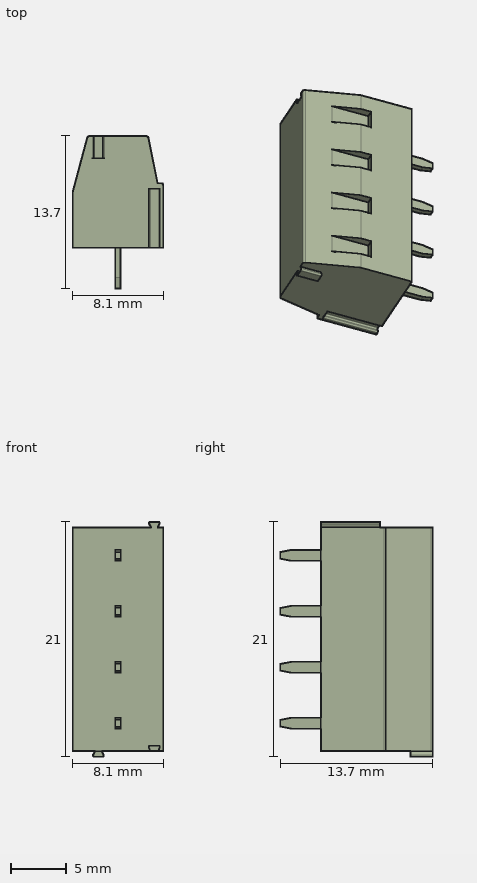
import cadquery as cq
import math


pole_count = 4
pole_pitch = 5.0
body_length = pole_count * pole_pitch

body_width = 8.1
body_height = 10.0
wire_side_height = 5.0
wire_side_lean = 15.0
back_step_height = 5.78
back_step_depth = 0.5
back_top_x = 2.7
top_edge_radius = 0.25
step_edge_radius = 0.15

pocket_bottom = 3.95
pocket_top = 7.53
pocket_length = 1.8

pin_thickness = 0.5
pin_width = 1.0
pin_length = 3.65
pin_taper_length = 1.0
pin_tip_width = 0.6

dovetail_height = 0.5
ridge_root_half = 0.31
groove_root_half = 0.35
dovetail_tip_half = 0.56
dovetail_radius = 0.12
wide_side_x = 3.25
wide_side_run = 5.3
narrow_side_x = -1.75
narrow_side_run = 2.0

half_width = body_width / 2
half_length = body_length / 2
lean_slope = math.tan(math.radians(wire_side_lean))
pole_centres = [(i - (pole_count - 1) / 2) * pole_pitch for i in range(pole_count)]


def make_housing():
    """Prism along Z with leaning sides and a stepped back."""
    wire_top_x = -half_width + (body_height - wire_side_height) * lean_slope
    outline = [
        (-half_width, 0),
        (half_width, 0),
        (half_width, back_step_height),
        (half_width - back_step_depth, back_step_height),
        (back_top_x, body_height),
        (wire_top_x, body_height),
        (-half_width, wire_side_height),
    ]
    prism = (
        cq.Workplane("XY")
        .workplane(offset=-half_length)
        .polyline(outline)
        .close()
        .extrude(body_length)
    )
    top_corners = cq.selectors.BoxSelector(
        (-half_width, back_step_height + top_edge_radius, -half_length),
        (half_width, body_height + top_edge_radius, half_length),
    )
    step_corner = cq.selectors.NearestToPointSelector((half_width, back_step_height, 0))
    prism = prism.edges("|Z").edges(top_corners).fillet(top_edge_radius)
    return prism.edges("|Z").edges(step_corner).fillet(step_edge_radius)


def make_pocket(centre_z):
    """Cutter with a vertical floor that meets the leaning side at the pocket top."""
    floor_x = -half_width + (pocket_top - wire_side_height) * lean_slope
    depth = floor_x + half_width
    return cq.Workplane("XY").box(
        depth, pocket_top - pocket_bottom, pocket_length, centered=(False, False, True)
    ).translate((-half_width, pocket_bottom, centre_z))


def make_pin(centre_z):
    """Flat pin whose width tapers toward its tip."""
    half_pin = pin_width / 2
    half_tip = pin_tip_width / 2
    taper_start = -(pin_length - pin_taper_length)
    outline = [
        (0, -half_pin),
        (taper_start, -half_pin),
        (-pin_length, -half_tip),
        (-pin_length, half_tip),
        (taper_start, half_pin),
        (0, half_pin),
    ]
    return (
        cq.Workplane("YZ")
        .polyline(outline)
        .close()
        .extrude(pin_thickness / 2, both=True)
        .translate((0, 0, centre_z))
    )


def make_dovetail(centre_x, start_y, run, root_z, direction, flared_mouth):
    """Dovetail bar along Y, growing from root_z toward +Z or -Z (direction +1 or -1).

    The tip corners are always rounded. A flared mouth also widens the root
    with the same radius, as needed for cutting a groove.
    """
    root = groove_root_half if flared_mouth else ridge_root_half
    tip = dovetail_tip_half
    radius, height = dovetail_radius, dovetail_height
    flank_angle = math.atan2(height, tip - root)
    setback = radius / math.tan(flank_angle / 2)
    flank_x = setback * math.cos(flank_angle)
    flank_z = setback * math.sin(flank_angle)
    bisector = radius / math.sin(flank_angle / 2) - radius
    mid_x = bisector * math.cos(flank_angle / 2)
    mid_z = bisector * math.sin(flank_angle / 2)

    def at(x, z):
        return (centre_x + x, root_z + direction * z)

    if flared_mouth:
        profile = (
            cq.Workplane("XZ")
            .moveTo(*at(-root - setback, 0))
            .lineTo(*at(root + setback, 0))
            .threePointArc(at(root + mid_x, mid_z), at(root + flank_x, flank_z))
        )
    else:
        profile = cq.Workplane("XZ").moveTo(*at(-root, 0)).lineTo(*at(root, 0))
    profile = (
        profile
        .lineTo(*at(tip - flank_x, height - flank_z))
        .threePointArc(at(tip - mid_x, height - mid_z), at(tip - setback, height))
        .lineTo(*at(setback - tip, height))
        .threePointArc(at(mid_x - tip, height - mid_z), at(flank_x - tip, height - flank_z))
    )
    if flared_mouth:
        profile = (
            profile
            .lineTo(*at(-root - flank_x, flank_z))
            .threePointArc(at(-root - mid_x, mid_z), at(-root - setback, 0))
        )
    return profile.close().extrude(-run).translate((0, start_y, 0))


result = make_housing()

for z in pole_centres:
    result = result.cut(make_pocket(z)).union(make_pin(z))

narrow_side_start = body_height - narrow_side_run

result = result.union(make_dovetail(wide_side_x, 0, wide_side_run, half_length, 1, False))
result = result.union(
    make_dovetail(narrow_side_x, narrow_side_start, narrow_side_run, -half_length, -1, False)
)

result = result.cut(make_dovetail(wide_side_x, 0, wide_side_run, -half_length, 1, True))
result = result.cut(
    make_dovetail(narrow_side_x, narrow_side_start, narrow_side_run, half_length, -1, True)
)